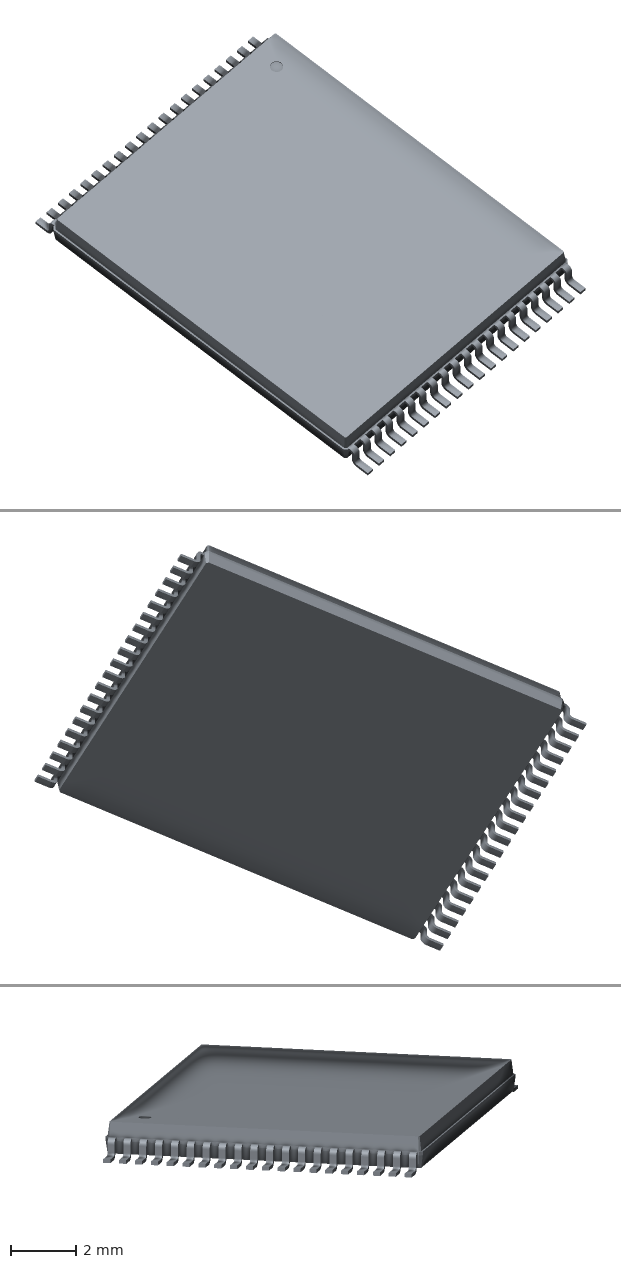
import cadquery as cq
import math


overall_length = 14.0
overall_height = 1.1

leads_per_side = 20
lead_width = 0.22
lead_thickness = 0.11
foot_length = 0.56
heel_radius = 0.1
shoulder_radius = 0.07
lead_embed = 0.14

body_length = 12.4
body_width = 10.0
body_standoff = 0.13
upper_depth = 0.46
ledge_width = 0.05
upper_inset = 0.05
lower_inset = 0.05
band_chamfer = 0.1
upper_chamfer = 0.07

mark_diameter = 0.4
mark_edge_distance = 1.02
mark_depth = 0.03

band_top = overall_height - upper_depth
band_bottom = band_top - lead_thickness
lead_pitch = body_width / leads_per_side


def body_layer(base_height, depth, side_inset, corner_chamfer, lean=0.0):
    """Slab with chamfered corners; a negative depth runs downward and `lean` narrows its far end."""
    slab_length = body_length - 2 * side_inset
    slab_width = body_width - 2 * side_inset
    outline = (
        cq.Sketch()
        .rect(slab_length, slab_width)
        .vertices()
        .chamfer(corner_chamfer)
    )
    draft_angle = math.degrees(math.atan2(lean, abs(depth)))
    return (
        cq.Workplane("XY", origin=(0, 0, base_height))
        .placeSketch(outline)
        .extrude(depth, taper=draft_angle)
    )


def make_body():
    """Parting band with a set-back upper half above it and a lower half below it."""
    band = body_layer(band_bottom, lead_thickness, 0, band_chamfer)
    upper_half = body_layer(band_top, upper_depth, ledge_width, upper_chamfer, upper_inset)
    lower_half = body_layer(band_bottom, body_standoff - band_bottom, 0, band_chamfer, lower_inset)
    return band.union(upper_half).union(lower_half)


def cut_pin_one_mark(body):
    """Shallow round recess in the top face, near the -X, +Y corner."""
    mark_x = mark_edge_distance - body_length / 2
    mark_y = body_width / 2 - mark_edge_distance
    mark = (
        cq.Workplane("XY", origin=(mark_x, mark_y, overall_height - mark_depth))
        .circle(mark_diameter / 2)
        .extrude(mark_depth)
    )
    return body.cut(mark)


def make_lead():
    """Gull-wing lead on the -X end, centred on Y = 0."""
    tip_x = -overall_length / 2
    upright_outer = tip_x + foot_length
    upright_inner = upright_outer + lead_thickness
    root_x = lead_embed - body_length / 2
    heel_outer_radius = heel_radius + lead_thickness
    shoulder_outer_radius = shoulder_radius + lead_thickness
    return (
        cq.Workplane("XZ", origin=(0, lead_width / 2, 0))
        .moveTo(tip_x, 0)
        .lineTo(upright_inner - heel_outer_radius, 0)
        .radiusArc((upright_inner, heel_outer_radius), -heel_outer_radius)
        .lineTo(upright_inner, band_bottom - shoulder_radius)
        .radiusArc((upright_inner + shoulder_radius, band_bottom), shoulder_radius)
        .lineTo(root_x, band_bottom)
        .lineTo(root_x, band_top)
        .lineTo(upright_outer + shoulder_outer_radius, band_top)
        .radiusArc((upright_outer, band_top - shoulder_outer_radius), -shoulder_outer_radius)
        .lineTo(upright_outer, heel_outer_radius)
        .radiusArc((upright_outer - heel_radius, lead_thickness), heel_radius)
        .lineTo(tip_x, lead_thickness)
        .close()
        .extrude(lead_width)
    )


def add_leads(body):
    """Join one evenly spaced row of leads to each X end of the body."""
    left_lead = make_lead()
    lead_pair = left_lead.union(left_lead.mirror("YZ"))
    first_y = -lead_pitch * (leads_per_side - 1) / 2
    for index in range(leads_per_side):
        body = body.union(lead_pair.translate((0, first_y + index * lead_pitch, 0)))
    return body


result = add_leads(cut_pin_one_mark(make_body()))